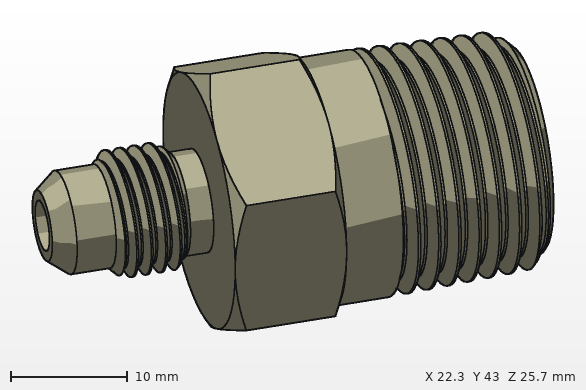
import cadquery as cq
import math

nose_cone_end = 1.8
flare_thread_start = 5.3
flare_thread_end = 11.9
hex_start = 13.95
hex_end = 23.85
collar_end = 29.0
total_length = 42.95

bore_diameter = 4.4
nose_tip_diameter = 6.2
neck_diameter = 9.0
hex_across_flats = 22.25
collar_diameter = 21.45
pipe_tip_diameter = 17.8

flare_crest_diameter = 11.1
flare_root_diameter = 9.45
flare_pitch = 1.3
flare_groove_station = 8.8

pipe_turns = 7
pipe_turns_span = 12.7
pipe_pitch = pipe_turns_span / pipe_turns
pipe_thread_depth = 1.2
pipe_taper_angle = math.degrees(math.atan(1 / 32))
pipe_groove_station = 29.6

thread_flank_angle = math.radians(30)
hex_chamfer_angle = math.radians(30)
groove_overcut = 0.1


def revolve_profile(points):
    """Solid of revolution about Z from (radius, station) points, its seam clear of the groove starts."""
    return cq.Workplane("YZ").polyline(points).close().revolve(360, (0, 0, 0), (0, 1, 0))


def cylinder(diameter, start, end):
    return cq.Workplane("XY").workplane(offset=start).circle(diameter / 2).extrude(end - start)


def helix_turn(pitch, radius, start, taper_angle):
    """One right-handed turn about Z, narrowing upwards when a taper angle is given."""
    center = cq.Vector(0, 0, start)
    if taper_angle is None:
        wire = cq.Wire.makeHelix(pitch, pitch, radius, center)
    else:
        slope_pitch = pitch / math.cos(math.radians(taper_angle))
        wire = cq.Wire.makeHelix(slope_pitch, slope_pitch, radius, center, angle=-taper_angle)
    return wire.Edges()[0]


def groove_turn(pitch, depth, crest_radius, start, taper_angle):
    """One turn of a V groove with a flat root, starting on the +X side."""
    flank_spread = math.tan(thread_flank_angle)
    crest_flat = (pitch - 2 * depth * flank_spread) / 2
    root_half = crest_flat / 2
    mouth_half = root_half + (depth + groove_overcut) * flank_spread
    root_radius = crest_radius - depth
    mouth_radius = crest_radius + groove_overcut
    corners = [
        (root_radius, -root_half),
        (mouth_radius, -mouth_half),
        (mouth_radius, mouth_half),
        (root_radius, root_half),
    ]
    helices = [helix_turn(pitch, radius, start + offset, taper_angle) for radius, offset in corners]
    sides = [cq.Face.makeRuledSurface(helices[i - 1], helices[i]) for i in range(len(helices))]
    caps = [
        cq.Face.makeFromWires(cq.Wire.makePolygon([point(helix) for helix in helices], close=True))
        for point in (cq.Edge.startPoint, cq.Edge.endPoint)
    ]
    return cq.Workplane(obj=cq.Solid.makeSolid(cq.Shell.makeShell(sides + caps)))


def cut_thread(blank, pitch, depth, crest_radius, start, turns, taper_angle=None):
    """Cut the groove turn by turn; crest_radius is the crest at the start station."""
    taper = 0 if taper_angle is None else math.tan(math.radians(taper_angle))
    for turn in range(turns):
        rise = turn * pitch
        blank = blank.cut(groove_turn(pitch, depth, crest_radius - taper * rise, start + rise, taper_angle))
    return blank


def make_hex():
    """Hexagon with points on the vertical axis and conically chamfered ends."""
    corner_diameter = hex_across_flats / math.cos(math.pi / 6)
    flat_radius = hex_across_flats / 2
    corner_radius = corner_diameter / 2
    outer_radius = corner_radius + 0.45
    chamfer = (outer_radius - flat_radius) * math.tan(hex_chamfer_angle)
    prism = (
        cq.Workplane("XY").workplane(offset=hex_start)
        .transformed(rotate=(0, 0, 30))
        .polygon(6, corner_diameter)
        .extrude(hex_end - hex_start)
    )
    envelope = revolve_profile([
        (0, hex_start),
        (flat_radius, hex_start),
        (outer_radius, hex_start + chamfer),
        (outer_radius, hex_end - chamfer),
        (flat_radius, hex_end),
        (0, hex_end),
    ])
    return prism.intersect(envelope)


def make_nose():
    neck_radius = neck_diameter / 2
    return revolve_profile([
        (0, 0),
        (nose_tip_diameter / 2, 0),
        (neck_radius, nose_cone_end),
        (neck_radius, hex_start),
        (0, hex_start),
    ])


def make_flare_thread():
    neck_radius = neck_diameter / 2
    crest_radius = flare_crest_diameter / 2
    chamfer = crest_radius - neck_radius
    blank = revolve_profile([
        (0, flare_thread_start),
        (neck_radius, flare_thread_start),
        (crest_radius, flare_thread_start + chamfer),
        (crest_radius, flare_thread_end - chamfer),
        (neck_radius, flare_thread_end),
        (0, flare_thread_end),
    ])
    turns_before = 3
    turns = 6
    depth = (flare_crest_diameter - flare_root_diameter) / 2
    start = flare_groove_station - turns_before * flare_pitch
    return cut_thread(blank, flare_pitch, depth, crest_radius, start, turns)


def make_pipe_thread():
    taper = math.tan(math.radians(pipe_taper_angle))
    base_radius = collar_diameter / 2
    tip_radius = pipe_tip_diameter / 2
    full_tip_radius = base_radius - taper * (total_length - collar_end)
    chamfer = (full_tip_radius - tip_radius) / (1 - taper)
    blank = revolve_profile([
        (0, collar_end),
        (base_radius, collar_end),
        (tip_radius + chamfer, total_length - chamfer),
        (tip_radius, total_length),
        (0, total_length),
    ])
    start = pipe_groove_station - pipe_pitch
    start_radius = base_radius + taper * (collar_end - start)
    turns = pipe_turns + 2
    return cut_thread(blank, pipe_pitch, pipe_thread_depth, start_radius, start, turns, pipe_taper_angle)


body = (
    make_nose()
    .union(make_flare_thread())
    .union(make_hex())
    .union(cylinder(collar_diameter, hex_end, collar_end))
    .union(make_pipe_thread())
    .cut(cylinder(bore_diameter, 0, total_length))
)

result = body.rotate((0, 0, 0), (1, 0, 0), -90)